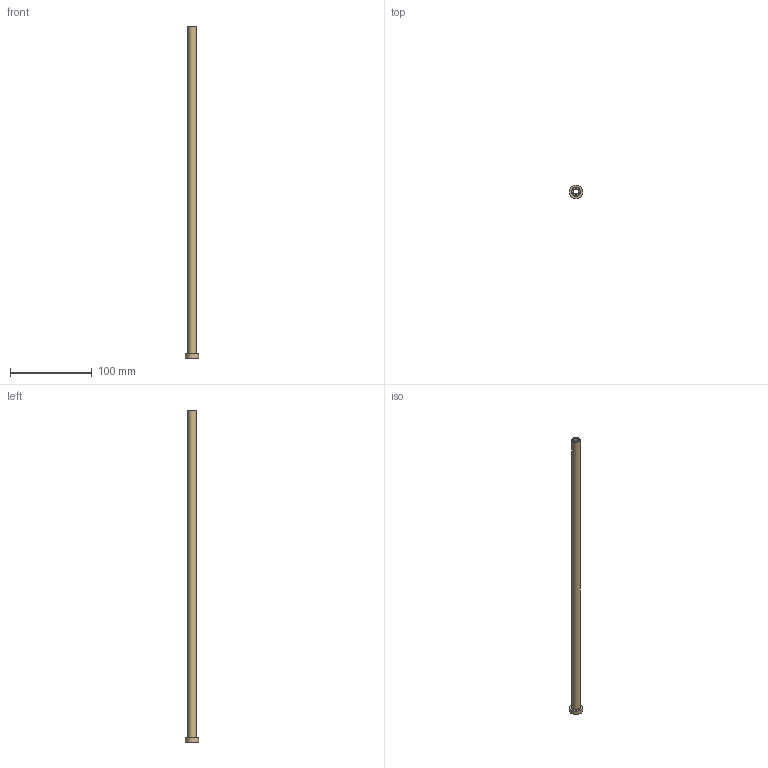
import cadquery as cq

overall_length = 405.0
head_diameter = 16.0
head_height = 5.0
shaft_diameter = 10.0
bore_diameter = 6.5
neck_fillet_radius = 0.5


def make_cylinder(diameter, height):
    """Upright cylinder with its base centred on the origin."""
    return cq.Workplane("XY").circle(diameter / 2).extrude(height)


def fillet_neck(body):
    """Round the inner corner where the shaft meets the top of the head."""
    reach = (shaft_diameter + head_diameter) / 4
    margin = neck_fillet_radius
    neck_edges = cq.selectors.BoxSelector(
        (-reach, -reach, head_height - margin),
        (reach, reach, head_height + margin),
        boundingbox=True,
    )
    return body.edges(neck_edges).fillet(neck_fillet_radius)


head = make_cylinder(head_diameter, head_height)
shaft = make_cylinder(shaft_diameter, overall_length)
bore = make_cylinder(bore_diameter, overall_length)

result = fillet_neck(head.union(shaft)).cut(bore)